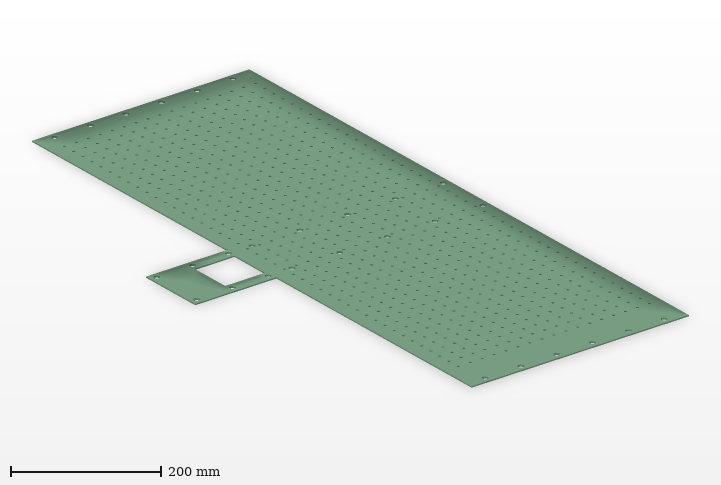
import cadquery as cq

thickness = 2.0
plate_length = 960.0
plate_width = 363.73
overall_width = 499.73

tab_width = 107.0
tab_center_x = plate_length / 2
tab_length = overall_width - plate_width
window_side_wall = 20.0
window_gap = 3.5
window_size = tab_width - 2 * window_side_wall
window_top_y = -plate_width - window_gap

grid_diameter = 4.2
grid_pitch = 20.0
grid_columns = 44
grid_rows = 17
grid_left_margin = 40.0
grid_top_margin = 20.0

screw_diameter = 5.5
counterbore_diameter = 9.2
counterbore_depth = 1.5

edge_inset = 10.0
edge_hole_count = 6
edge_bottom_margin = 30.15
left_top_margin = 35.0
left_hole_pitch = (plate_width - edge_bottom_margin - left_top_margin) / (edge_hole_count - 1)
right_hole_pitch = 60.0

tab_hole_inset = 10.0
plate_hole_count = 5
plate_hole_pitch = 80.0
plate_end_margin = 10.0
tab_hole_count = 3
tab_hole_pitch = 60.0
tab_end_margin = 10.0


def column(x, first_y, pitch, count):
    """Evenly spaced points at a constant x; a negative pitch runs down from first_y."""
    return [(x, first_y + i * pitch) for i in range(count)]


def make_sheet():
    plate = cq.Workplane("XY").box(plate_length, plate_width, thickness, centered=False)
    plate = plate.translate((0, -plate_width, 0))
    tab = cq.Workplane("XY").box(tab_width, tab_length, thickness, centered=False)
    tab = tab.translate((tab_center_x - tab_width / 2, -overall_width, 0))
    return plate.union(tab)


def make_window():
    window = cq.Workplane("XY").box(window_size, window_size, thickness, centered=False)
    return window.translate((tab_center_x - window_size / 2, window_top_y - window_size, 0))


def grid_points():
    points = []
    for i in range(grid_columns):
        points += column(grid_left_margin + i * grid_pitch, -grid_top_margin, -grid_pitch, grid_rows)
    return points


def screw_points():
    points = []
    lowest_y = edge_bottom_margin - plate_width
    points += column(edge_inset, lowest_y, left_hole_pitch, edge_hole_count)
    points += column(plate_length - edge_inset, lowest_y, right_hole_pitch, edge_hole_count)
    tab_hole_offset = tab_width / 2 - tab_hole_inset
    for x in (tab_center_x - tab_hole_offset, tab_center_x + tab_hole_offset):
        points += column(x, -plate_end_margin, -plate_hole_pitch, plate_hole_count)
        points += column(x, tab_end_margin - overall_width, tab_hole_pitch, tab_hole_count)
    return points


def cut_grid(body):
    top = body.faces(">Z").workplane(origin=(0, 0, thickness)).pushPoints(grid_points())
    return top.hole(grid_diameter)


def cut_screws(body):
    top = body.faces(">Z").workplane(origin=(0, 0, thickness)).pushPoints(screw_points())
    return top.cboreHole(screw_diameter, counterbore_diameter, counterbore_depth)


panel = make_sheet().cut(make_window())
panel = cut_grid(panel)
result = cut_screws(panel)